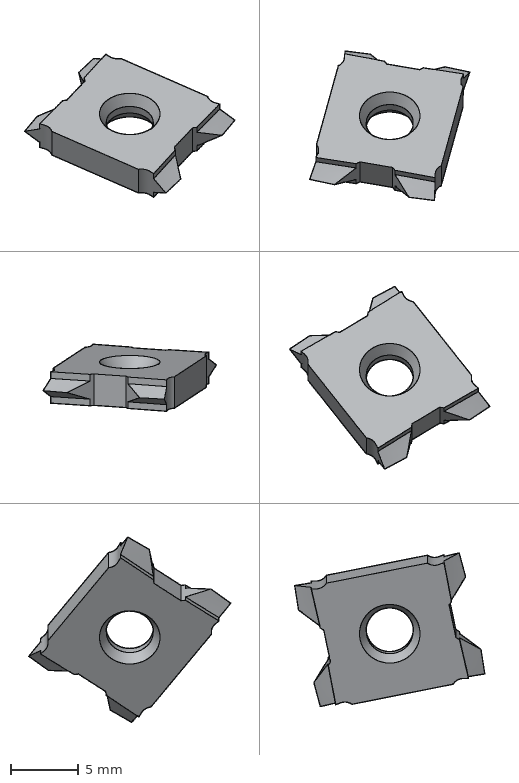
import cadquery as cq
import math

thickness = 2.4
width = 9.5
waist_half = 4.76
waist_flat = 2.5

knife_outer_x = 6.25
knife_inner_x = 6.35
corner_outer_x = 5.04
corner_inner_x = 4.985
wedge_root = 1.38
relief_angle = 10
flank_angle = 45

runout_start_x = 4.665
runout_end_x = 3.83

hole_diameter = 3.5
seat_diameter = 4.5
seat_angle = 60

half_width = width / 2


def relief_y(x):
    """Y of the straight side relief at a given X."""
    return half_width - (knife_outer_x - x) * math.tan(math.radians(relief_angle))


def flank_y(x):
    """Y of the flank that leads from the waist to the knife edge."""
    return waist_flat / 2 + (x - waist_half) * math.tan(math.radians(flank_angle))


def runout_middle():
    """Mid point of the arc that leaves the relief tangentially and ends on the long side."""
    run = runout_start_x - runout_end_x
    rise = half_width - relief_y(runout_start_x)
    chord = math.hypot(run, rise)
    chord_angle = math.atan2(rise, run)
    half_sweep = chord_angle + math.radians(relief_angle)
    sagitta = chord / 2 * math.tan(half_sweep / 2)
    middle_x = runout_start_x - run / 2 - sagitta * math.sin(chord_angle)
    middle_y = relief_y(runout_start_x) + rise / 2 - sagitta * math.cos(chord_angle)
    return middle_x, middle_y


def mirrored(quarter):
    """Copy a +X +Y quarter of the part into all four quadrants."""
    half = quarter.union(quarter.mirror("YZ"))
    return half.union(half.mirror("XZ"))


def plate_quarter():
    return (
        cq.Workplane("XY", origin=(0, 0, -thickness / 2))
        .lineTo(waist_half, 0)
        .lineTo(waist_half, waist_flat / 2)
        .lineTo(corner_inner_x, flank_y(corner_inner_x))
        .lineTo(corner_outer_x, relief_y(corner_outer_x))
        .lineTo(runout_start_x, relief_y(runout_start_x))
        .threePointArc(runout_middle(), (runout_end_x, half_width))
        .lineTo(0, half_width)
        .close()
        .extrude(thickness)
    )


def wedge_end(knife, root):
    """Triangular end of a wedge: its knife point and the two root corners on the plate."""
    return cq.Wire.makePolygon(
        [
            cq.Vector(*knife, 0),
            cq.Vector(*root, wedge_root / 2),
            cq.Vector(*root, -wedge_root / 2),
        ],
        close=True,
    )


def wedge():
    outer_end = wedge_end(
        (knife_outer_x, half_width),
        (corner_outer_x, relief_y(corner_outer_x)),
    )
    inner_end = wedge_end(
        (knife_inner_x, flank_y(knife_inner_x)),
        (corner_inner_x, flank_y(corner_inner_x)),
    )
    return cq.Workplane(obj=cq.Solid.makeLoft([outer_end, inner_end], True))


def screw_hole():
    hole_radius = hole_diameter / 2
    seat_radius = seat_diameter / 2
    seat_depth = (seat_radius - hole_radius) / math.tan(math.radians(seat_angle / 2))
    top = thickness / 2
    return (
        cq.Workplane("XZ")
        .moveTo(0, -top)
        .lineTo(seat_radius, -top)
        .lineTo(hole_radius, seat_depth - top)
        .lineTo(hole_radius, top - seat_depth)
        .lineTo(seat_radius, top)
        .lineTo(0, top)
        .close()
        .revolve(360, (0, 0, 0), (0, 1, 0))
    )


plate = mirrored(plate_quarter()).clean()
result = plate.union(mirrored(wedge())).cut(screw_hole())